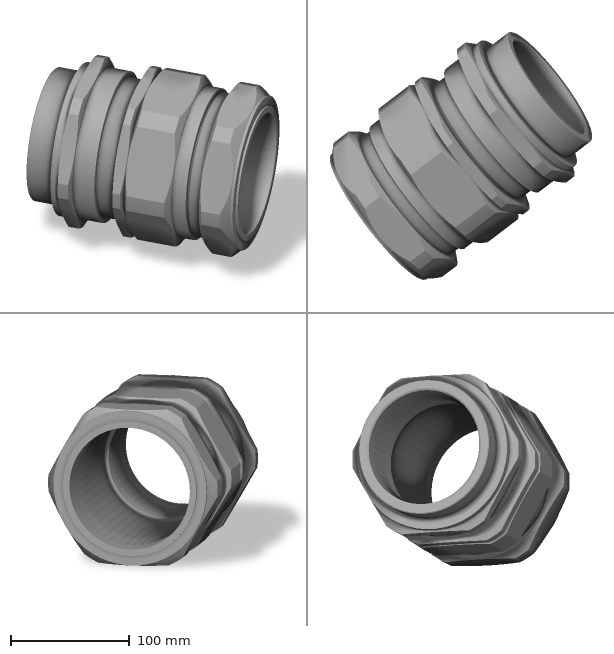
import cadquery as cq
import math

total_length = 186.3

thread_radius = 57.4
edge_chamfer = 0.7
relief_radius = 56.0
collar_radius = 66.0
body_radius = 65.0
neck_radius = 60.0
neck_chamfer = 1.0
rear_neck_radius = 61.9
rear_groove_radius = 60.4
ring_radius = 66.1
lip_radius = 57.8

thread_end = 23.0
collar_start = 24.0
entry_nut_start = 30.7
entry_nut_end = 43.6
neck_start = 62.2
neck_end = 77.3
lock_nut_start = 79.0
lock_nut_end = 89.0
body_hex_end = 130.6
rear_body_end = 142.7
rear_neck_start = 144.2
gland_nut_start = 154.8
gland_nut_end = 182.4
ring_end = 184.6

hex_sides = 6
main_across_flats = 134.1
main_corner_diameter = 146.8
gland_across_flats = 133.5
lock_across_flats = 133.0
lock_corner_diameter = 145.7
nut_face_radius = 66.1
shallow_angle = 15
medium_angle = 30
steep_angle = 45
gland_nut_turn = 0.5

bore_radius = 48.8
bore_chamfer = 1.0
bore_mouth_radius = 50.3
rear_bore_radius = 52.2
rear_bore_start = neck_start


def revolve_profile(points):
    """Turn a closed (x, radius) outline about the X axis."""
    return cq.Workplane("XY").polyline(points).close().revolve(360, (0, 0, 0), (1, 0, 0))


def cylinder(start, end, radius):
    return cq.Workplane("YZ").workplane(offset=start).circle(radius).extrude(end - start)


def chamfered_cylinder(start, end, radius, chamfer, edges):
    return cylinder(start, end, radius).edges(edges).chamfer(chamfer)


def hex_nut(start, end, across_flats, corner_diameter, start_angle, end_angle):
    """Hex prism with corners along Y, trimmed to a round blank with a cone at each end."""
    corner_radius = corner_diameter / 2
    start_cone = (corner_radius - nut_face_radius) * math.tan(math.radians(start_angle))
    end_cone = (corner_radius - nut_face_radius) * math.tan(math.radians(end_angle))
    prism_diameter = across_flats / math.cos(math.pi / hex_sides)
    prism = cq.Workplane("YZ").workplane(offset=start).polygon(hex_sides, prism_diameter).extrude(end - start)
    blank = revolve_profile([
        (start, 0),
        (start, nut_face_radius),
        (start + start_cone, corner_radius),
        (end - end_cone, corner_radius),
        (end, nut_face_radius),
        (end, 0),
    ])
    return prism.intersect(blank)


thread = chamfered_cylinder(0, thread_end, thread_radius, edge_chamfer, "%CIRCLE")
relief = cylinder(thread_end, collar_start, relief_radius)
collar = cylinder(collar_start, entry_nut_start, collar_radius)

front_body = cylinder(entry_nut_end, neck_start, body_radius)
neck = chamfered_cylinder(neck_start, neck_end, neck_radius, neck_chamfer, ">X")
neck_groove = cylinder(neck_end, lock_nut_start, neck_radius - neck_chamfer)

rear_body = cylinder(body_hex_end, rear_body_end, body_radius)
rear_groove = cylinder(rear_body_end, rear_neck_start, rear_groove_radius)
rear_neck = chamfered_cylinder(rear_neck_start, gland_nut_start, rear_neck_radius, edge_chamfer, "<X")

ring = cylinder(gland_nut_end, ring_end, ring_radius)
lip = cylinder(ring_end, total_length, lip_radius)

entry_nut = hex_nut(
    entry_nut_start, entry_nut_end, main_across_flats, main_corner_diameter, shallow_angle, shallow_angle)
lock_nut = hex_nut(
    lock_nut_start, lock_nut_end, lock_across_flats, lock_corner_diameter, shallow_angle, shallow_angle)
body_hex = hex_nut(
    lock_nut_end, body_hex_end, main_across_flats, main_corner_diameter, medium_angle, medium_angle)
gland_nut = hex_nut(
    gland_nut_start, gland_nut_end, gland_across_flats, main_corner_diameter, medium_angle, steep_angle
).rotate((0, 0, 0), (1, 0, 0), gland_nut_turn)

sections = [
    relief, collar, entry_nut, front_body, neck, neck_groove, lock_nut, body_hex,
    rear_body, rear_groove, rear_neck, gland_nut, ring, lip,
]
outside = thread
for section in sections:
    outside = outside.union(section)

bore = revolve_profile([
    (0, 0),
    (0, bore_mouth_radius),
    (bore_chamfer, bore_radius),
    (rear_bore_start, bore_radius),
    (rear_bore_start, rear_bore_radius),
    (total_length, rear_bore_radius),
    (total_length, 0),
])

result = outside.cut(bore)